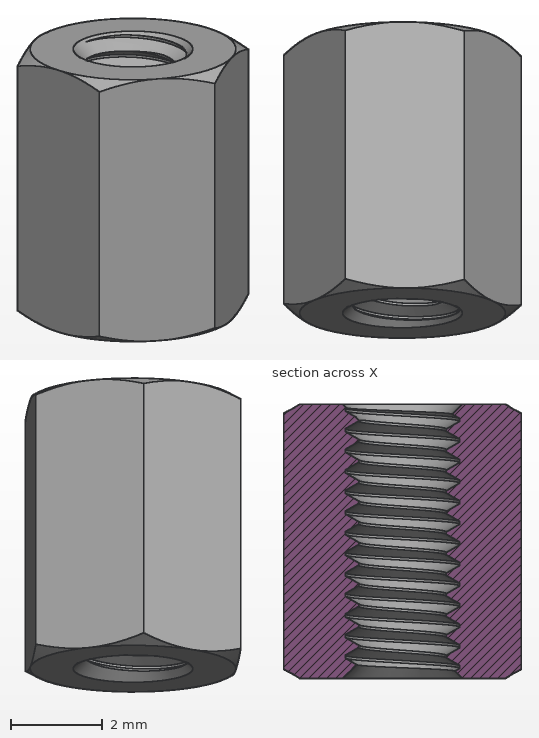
import cadquery as cq
import math

height = 6.0
across_flats = 4.5
across_corners = across_flats / math.cos(math.radians(30))
corner_chamfer_angle = 30.0

pitch = 0.45
major_radius = 1.25
thread_half_angle = 30.0
crest_width = pitch / 8
root_width = pitch / 8
flank_slope = math.tan(math.radians(thread_half_angle))
thread_depth = (pitch - crest_width - root_width) / 2 / flank_slope
minor_radius = major_radius - thread_depth
groove_phase = 0.365
seam_angle = 225.0

mouth_radius = 1.31
lead_in_angle = 45.0


def make_hex_body():
    """Hexagonal prism, corners towards +Y and -Y, chamfered by turning at both ends."""
    prism = (
        cq.Workplane("XY")
        .polygon(6, across_corners)
        .extrude(height)
        .rotate((0, 0, 0), (0, 0, 1), 30)
    )
    flat_radius = across_flats / 2
    blank_radius = across_corners
    drop = (blank_radius - flat_radius) * math.tan(math.radians(corner_chamfer_angle))
    turned_blank = (
        cq.Workplane("XZ")
        .moveTo(0, 0)
        .lineTo(flat_radius, 0)
        .lineTo(blank_radius, drop)
        .lineTo(blank_radius, height - drop)
        .lineTo(flat_radius, height)
        .lineTo(0, height)
        .close()
        .revolve(360, (0, 0, 0), (0, 1, 0))
    )
    return prism.intersect(turned_blank)


def helix_edge(radius, start):
    """One right-hand turn, starting on the +X side at height start."""
    wire = cq.Wire.makeHelix(pitch, pitch, radius)
    return wire.translate(cq.Vector(0, 0, start)).Edges()[0]


def axis_edge(start):
    """One pitch along the bore axis."""
    return cq.Edge.makeLine(cq.Vector(0, 0, start), cq.Vector(0, 0, start + pitch))


def make_tap():
    """Threaded rod with the shape of the whole tapped hole, longer than the body.

    Each turn has four helical strips: root, flank, crest, flank. A helicoid and a
    radial step close each end.
    """
    flank_height = thread_depth * flank_slope
    profile = [
        (major_radius, 0),
        (major_radius, root_width),
        (minor_radius, root_width + flank_height),
        (minor_radius, root_width + flank_height + crest_width),
        (major_radius, pitch),
    ]
    groove_at_seam = groove_phase + pitch * seam_angle / 360
    bottom = groove_at_seam - root_width / 2 - 3 * pitch
    turns = math.ceil((height - bottom) / pitch) + 1
    top = bottom + turns * pitch

    faces = []
    for turn in range(turns):
        start = bottom + turn * pitch
        for (lower_radius, lower), (upper_radius, upper) in zip(profile, profile[1:]):
            lower_edge = helix_edge(lower_radius, start + lower)
            upper_edge = helix_edge(upper_radius, start + upper)
            faces.append(cq.Face.makeRuledSurface(lower_edge, upper_edge))

    for end in (bottom, top):
        faces.append(cq.Face.makeRuledSurface(axis_edge(end), helix_edge(major_radius, end)))
        step = [(0, end)]
        step += [(radius, end + rise) for radius, rise in profile]
        step += [(0, end + pitch)]
        corners = [cq.Vector(radius, 0, z) for radius, z in step]
        faces.append(cq.Face.makeFromWires(cq.Wire.makePolygon(corners, close=True)))

    tap = cq.Workplane(obj=cq.Solid.makeSolid(cq.Shell.makeShell(faces)))
    return tap.rotate((0, 0, 0), (0, 0, 1), seam_angle)


def make_lead_in():
    """Cone that opens the top end of the bore, starting on the axis."""
    depth = mouth_radius * math.tan(math.radians(lead_in_angle))
    return (
        cq.Workplane("XZ")
        .moveTo(0, height)
        .lineTo(mouth_radius, height)
        .lineTo(0, height - depth)
        .close()
        .revolve(360, (0, 0, 0), (0, 1, 0))
    )


top_lead_in = make_lead_in()
bottom_lead_in = top_lead_in.mirror("XY", (0, 0, height / 2))

result = (
    make_hex_body()
    .cut(top_lead_in)
    .cut(bottom_lead_in)
    .cut(make_tap())
)